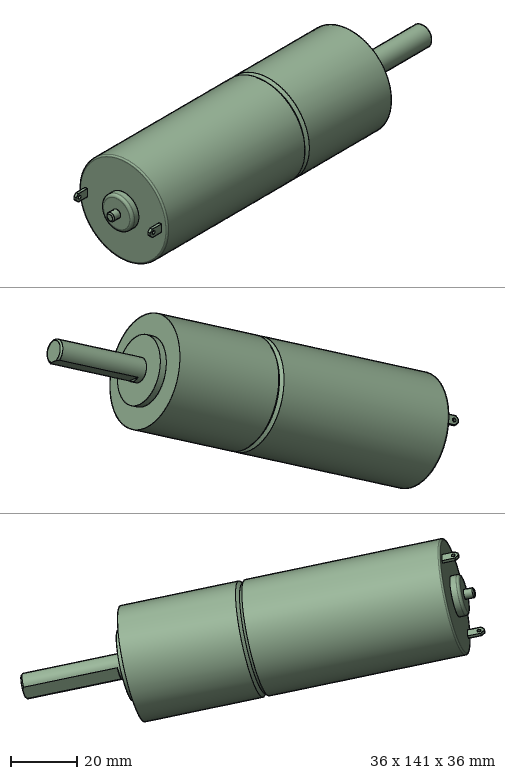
import cadquery as cq

total_length = 141.0
body_radius = 17.98
body_length = 100.8
body_edge_fillet = 0.5

groove_center = 62.9
groove_depth = 1.0

pilot_radius = 11.0
pilot_length = 2.3

shaft_radius = 4.0
shaft_chamfer = 0.5
flat_height = 3.2
round_shaft_length = 2.0

rear_boss_radius = 6.3
rear_boss_length = 3.0
rear_boss_fillet = 1.0

rear_shaft_radius = 1.5
rear_shaft_length = 6.0
rear_shaft_chamfer = 0.4

terminal_offset = 15.1
terminal_thickness = 1.0
terminal_width = 3.0
terminal_length = 5.1
terminal_corner = 1.0
terminal_hole_diameter = 1.1
terminal_hole_position = 3.5

shaft_tip = total_length - rear_shaft_length
pilot_face = body_length + pilot_length
root_overlap = 1.4


def cylinder(radius, start, end):
    """Solid cylinder on the motor axis between two Y positions."""
    return cq.Workplane("XZ", origin=(0, start, 0)).circle(radius).extrude(start - end)


def make_body():
    """Motor and gearbox housings, parted by a V groove."""
    profile = [
        (0, 0),
        (body_radius, 0),
        (body_radius, groove_center - groove_depth),
        (body_radius - groove_depth, groove_center),
        (body_radius, groove_center + groove_depth),
        (body_radius, body_length),
        (0, body_length),
    ]
    body = cq.Workplane("XY").polyline(profile).close().revolve(360, (0, 0), (0, 1))
    return body.faces("<Y").edges().fillet(body_edge_fillet)


def make_output_shaft():
    """Output shaft with a flat underneath that stops short of the pilot."""
    shaft = cylinder(shaft_radius, body_length, shaft_tip).faces(">Y").chamfer(shaft_chamfer)
    flat_start = pilot_face + round_shaft_length
    flat_cutter = cq.Workplane("XY").box(
        2 * shaft_radius,
        shaft_tip - flat_start,
        shaft_radius,
        centered=(True, False, False),
    )
    return shaft.cut(flat_cutter.translate((0, flat_start, -flat_height - shaft_radius)))


def make_rear_end():
    """Rear bearing boss and the stub of the motor shaft."""
    boss = cylinder(rear_boss_radius, root_overlap, -rear_boss_length)
    boss = boss.faces("<Y").fillet(rear_boss_fillet)
    stub = cylinder(rear_shaft_radius, root_overlap, -rear_shaft_length)
    stub = stub.faces("<Y").chamfer(rear_shaft_chamfer)
    return boss.union(stub)


def make_terminal(x_center):
    """Flat solder tab with clipped corners and a wire hole."""
    tab = cq.Workplane("XY").box(
        terminal_thickness,
        terminal_length + root_overlap,
        terminal_width,
        centered=(True, False, True),
    )
    tab = tab.translate((x_center, -terminal_length, 0))
    tab = tab.faces("<Y").edges("|X").chamfer(terminal_corner)
    hole = (
        cq.Workplane("YZ", origin=(x_center, -terminal_hole_position, 0))
        .circle(terminal_hole_diameter / 2)
        .extrude(terminal_thickness, both=True)
    )
    return tab.cut(hole)


result = make_body()
result = result.union(cylinder(pilot_radius, body_length - root_overlap, pilot_face))
result = result.union(make_output_shaft())
result = result.union(make_rear_end())
for side in (-1, 1):
    result = result.union(make_terminal(side * terminal_offset))